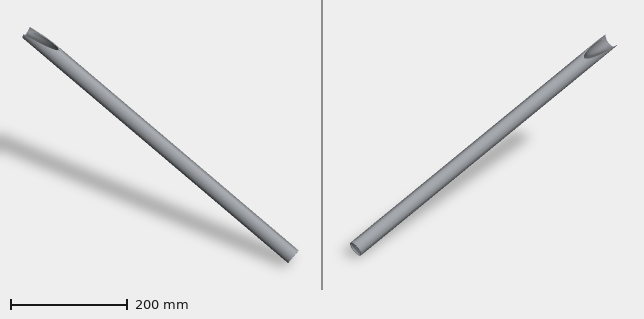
import cadquery as cq

RUN_X = 534.5
DROP_Y = 153.0
DROP_Z = 225.0

OUTER_DIAMETER = 28.5
WALL = 1.5

MATE_DRIFT = 0.11
COPE_LENGTH = 218.0
MATE_DIRECTION = cq.Vector(1, -MATE_DRIFT, 0).normalized()

axis = cq.Vector(RUN_X, -DROP_Y, -DROP_Z)
direction = axis.normalized()
outer_radius = OUTER_DIAMETER / 2
inner_radius = outer_radius - WALL
stock = 2 * OUTER_DIAMETER


def rod(radius):
    """Solid cylinder along the centre line, overrunning the coped end."""
    return cq.Solid.makeCylinder(radius, axis.Length + stock, direction * -stock, direction)


def make_tube():
    return cq.Workplane(obj=rod(outer_radius)).cut(cq.Workplane(obj=rod(inner_radius)))


def cope(tube):
    """Notch the tube around the mating cylinder and keep the long piece."""
    mate_start = MATE_DIRECTION * (-COPE_LENGTH / 2)
    mate = cq.Solid.makeCylinder(outer_radius, COPE_LENGTH, mate_start, MATE_DIRECTION)
    pieces = tube.cut(cq.Workplane(obj=mate)).solids().vals()
    return cq.Workplane(obj=max(pieces, key=lambda piece: piece.Volume()))


result = cope(make_tube())